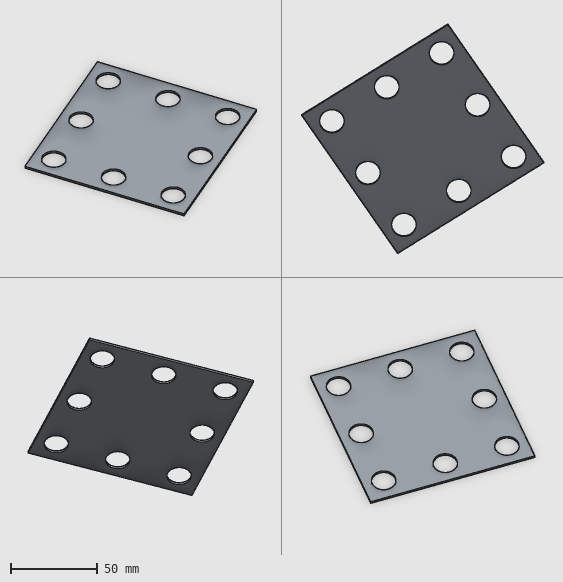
import cadquery as cq

plate_side = 101.6
plate_thickness = 1.57
hole_diameter = 14.22
hole_edge_distance = 12.7

hole_pitch = plate_side / 2 - hole_edge_distance


def hole_centres():
    """Centres of a 3 x 3 grid, leaving out the middle of the plate."""
    steps = (-1, 0, 1)
    return [
        (column * hole_pitch, row * hole_pitch)
        for column in steps
        for row in steps
        if (column, row) != (0, 0)
    ]


plate = cq.Workplane("XY").box(plate_side, plate_side, plate_thickness)

result = plate.faces(">Z").workplane().pushPoints(hole_centres()).hole(hole_diameter)